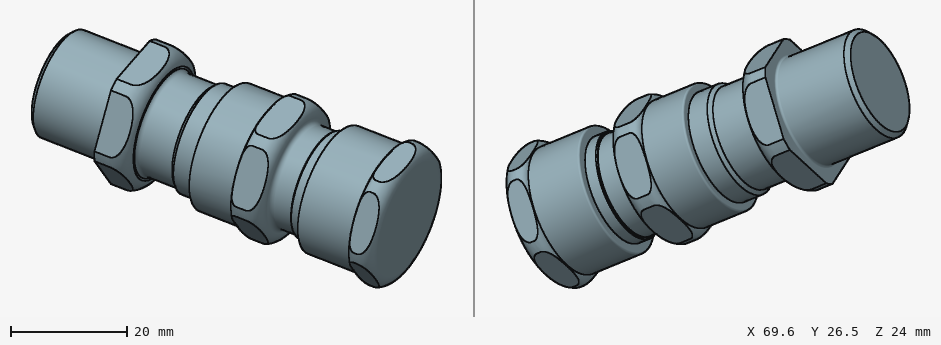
import cadquery as cq
import math


hex_1_start = 14.9
hex_1_end = 21.0
entry_thread_start = 28.2
middle_skirt_start = 32.8
hex_2_start = 41.35
hex_2_end = 47.55
middle_thread_start = 51.9
end_skirt_start = 54.35
hex_3_start = 64.8
overall_length = 69.6

across_flats = 24.0
corner_diameter = 26.5
lead_round = 1.7
tail_round = 2.6
entry_tail_round = 3.2

stub_diameter = 20.0
neck_diameter = 19.15
entry_thread_diameter = 20.5
middle_thread_diameter = 19.9
skirt_diameter = 23.65

stub_chamfer = 0.85
entry_thread_chamfer = (entry_thread_diameter - neck_diameter) / 2
middle_thread_chamfer = 0.2
skirt_round = 0.35
skirt_lap = 0.1
stub_root_radius = 0.4
neck_root_radius = 0.9


def rod(start, end, diameter):
    """Solid cylinder along X between two stations."""
    return cq.Workplane("YZ").workplane(offset=start).circle(diameter / 2).extrude(end - start)


def hexagon(start, end, tail, lead=0.0):
    """Hexagon with flats facing up and down, its corners turned down and rounded at the ends."""
    blank = rod(start, end, corner_diameter).faces(">X").edges().fillet(tail)
    if lead > 0:
        blank = blank.faces("<X").edges().fillet(lead)
    prism = (
        cq.Workplane("YZ")
        .workplane(offset=start)
        .polygon(6, across_flats / math.cos(math.pi / 6))
        .extrude(end - start)
    )
    return prism.intersect(blank)


def root_fillet(face, diameter, radius, side):
    """Flared collar that blends a shaft into a face; side is the X direction away from the face."""
    shaft_radius = diameter / 2
    tip = face + side * radius
    arc_inset = radius * math.sqrt(0.5)
    return (
        cq.Workplane("XY")
        .moveTo(face, 0)
        .lineTo(face, shaft_radius + radius)
        .threePointArc(
            (tip - side * arc_inset, shaft_radius + radius - arc_inset),
            (tip, shaft_radius),
        )
        .lineTo(tip, 0)
        .close()
        .revolve(360, (0, 0, 0), (1, 0, 0))
    )


def thread(start, end, diameter, chamfer):
    """Thread cylinder with its shoulder toward the neck chamfered."""
    return rod(start, end, diameter).faces("<X").edges().chamfer(chamfer)


def skirt(start, hex_start):
    """Round skirt ahead of a nut's hexagon, lapping slightly under the rounded hexagon edge."""
    return rod(start, hex_start + skirt_lap, skirt_diameter).faces("<X").edges().fillet(skirt_round)


def make_entry_fitting():
    stub = rod(0, hex_1_start, stub_diameter).faces("<X").edges().chamfer(stub_chamfer)
    return (
        stub.union(root_fillet(hex_1_start, stub_diameter, stub_root_radius, -1))
        .union(hexagon(hex_1_start, hex_1_end, entry_tail_round))
        .union(root_fillet(hex_1_end, neck_diameter, neck_root_radius, 1))
        .union(rod(hex_1_end, entry_thread_start + entry_thread_chamfer, neck_diameter))
        .union(thread(entry_thread_start, hex_2_start, entry_thread_diameter, entry_thread_chamfer))
    )


def make_middle_nut():
    return (
        skirt(middle_skirt_start, hex_2_start)
        .union(hexagon(hex_2_start, hex_2_end, tail_round, lead_round))
        .union(root_fillet(hex_2_end, neck_diameter, neck_root_radius, 1))
        .union(rod(hex_2_end, middle_thread_start + middle_thread_chamfer, neck_diameter))
        .union(thread(middle_thread_start, hex_3_start, middle_thread_diameter, middle_thread_chamfer))
        .cut(rod(middle_skirt_start, hex_2_start, entry_thread_diameter))
    )


def make_end_nut():
    return (
        skirt(end_skirt_start, hex_3_start)
        .union(hexagon(hex_3_start, overall_length, tail_round, lead_round))
        .cut(rod(end_skirt_start, hex_3_start, middle_thread_diameter))
    )


entry_fitting = make_entry_fitting()
middle_nut = make_middle_nut()
end_nut = make_end_nut()

result = cq.Compound.makeCompound(
    [body.solids().val() for body in (entry_fitting, middle_nut, end_nut)]
)